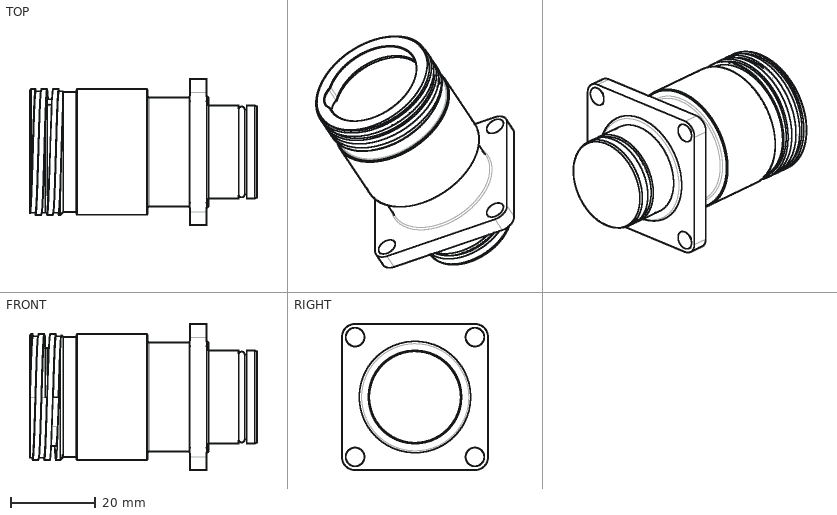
import cadquery as cq
import math


thread_end = 7.95
sleeve_start = 11.0
sleeve_end = 28.0
flange_front = 38.0
flange_rear = 42.0
boss_end = 42.5
seal_groove_start = 49.6
seal_groove_end = 51.5
total_length = 54.0

thread_crest_radius = 30.0 / 2
thread_root_radius = 29.0 / 2
relief_radius = 14.3
sleeve_radius = 30.0 / 2
neck_radius = 13.0
boss_radius = 13.25
tail_radius = 22.2 / 2
seal_floor_radius = 20.17 / 2
seal_bead_radius = 1.5 / 2

mouth_outer_chamfer = 0.3
mouth_bore_chamfer = 0.15
thread_end_chamfer = thread_crest_radius - relief_radius
sleeve_chamfer = 0.25
relief_fillet = 0.2
neck_fillet = 0.4
boss_fillet = 0.5
tail_chamfer_length = 0.6
tail_chamfer_height = 0.25

thread_pitch = 2.75
groove_position = 3.39
groove_floor_width = 1.2
groove_mouth_width = 1.5
groove_turns = range(-2, 2)
cutter_radius = thread_crest_radius + 0.1

slot_start = 3.6
slot_width = 1.4
slot_overlap = 0.1

flange_size = 34.8
flange_hole_spacing = 28.5
flange_hole_diameter = 4.4
flange_corner_radius = (flange_size - flange_hole_spacing) / 2

bore_radius = 11.6
slot_floor_radius = bore_radius + 0.1
key_tip_radius = 25.2 / 2
key_radius = 4.3
key_root_fillet = 2.0
insert_face = 4.1
insert_end = sleeve_end


def cylinder(start, end, radius):
    """Solid cylinder on the X axis."""
    return cq.Workplane("YZ", origin=(start, 0, 0)).circle(radius).extrude(end - start)


def turned_blank():
    """Everything on the housing that is round about X, before the thread is cut."""
    profile = (
        cq.Workplane("XY")
        .moveTo(0, 0)
        .lineTo(0, thread_crest_radius - mouth_outer_chamfer)
        .lineTo(mouth_outer_chamfer, thread_crest_radius)
        .lineTo(thread_end - thread_end_chamfer, thread_crest_radius)
        .lineTo(thread_end, relief_radius)
        .lineTo(sleeve_start - relief_fillet, relief_radius)
        .radiusArc((sleeve_start, relief_radius + relief_fillet), -relief_fillet)
        .lineTo(sleeve_start, sleeve_radius - sleeve_chamfer)
        .lineTo(sleeve_start + sleeve_chamfer, sleeve_radius)
        .lineTo(sleeve_end - sleeve_chamfer, sleeve_radius)
        .lineTo(sleeve_end, sleeve_radius - sleeve_chamfer)
        .lineTo(sleeve_end, neck_radius + neck_fillet)
        .radiusArc((sleeve_end + neck_fillet, neck_radius), -neck_fillet)
        .lineTo(flange_front - neck_fillet, neck_radius)
        .radiusArc((flange_front, neck_radius + neck_fillet), -neck_fillet)
        .lineTo(flange_rear, neck_radius + neck_fillet)
        .lineTo(flange_rear, boss_radius)
        .radiusArc((boss_end, boss_radius - boss_fillet), boss_fillet)
        .lineTo(boss_end, tail_radius)
        .lineTo(seal_groove_start, tail_radius)
        .lineTo(seal_groove_start, seal_floor_radius)
        .radiusArc((seal_groove_start + 2 * seal_bead_radius, seal_floor_radius), seal_bead_radius)
        .lineTo(seal_groove_end, seal_floor_radius)
        .lineTo(seal_groove_end, tail_radius)
        .lineTo(total_length - tail_chamfer_length, tail_radius)
        .lineTo(total_length, tail_radius - tail_chamfer_height)
        .lineTo(total_length, 0)
        .close()
    )
    return profile.revolve(360, (0, 0, 0), (1, 0, 0))


def helical_sweep(start_x, inner_radius, inner_width, outer_radius, outer_width):
    """Trapezoid swept along one turn of a left-handed helix about X that starts on the -Y side."""
    path = cq.Wire.makeHelix(thread_pitch, thread_pitch, inner_radius, lefthand=True)
    section = cq.Workplane("XZ").polyline([
        (inner_radius, -inner_width / 2),
        (outer_radius, -outer_width / 2),
        (outer_radius, outer_width / 2),
        (inner_radius, inner_width / 2),
    ]).close()
    swept = section.sweep(cq.Workplane(obj=path), isFrenet=True)
    along_x = swept.rotate((0, 0, 0), (0, 1, 0), 90)
    from_minus_y = along_x.rotate((0, 0, 0), (1, 0, 0), -90)
    return from_minus_y.translate((start_x, 0, 0))


def cut_thread(body):
    """Cut a shallow helical groove turn by turn; it runs out past both ends of the thread."""
    for turn in groove_turns:
        groove = helical_sweep(
            groove_position + turn * thread_pitch,
            thread_root_radius, groove_floor_width, cutter_radius, groove_mouth_width,
        )
        body = body.cut(groove)
    return body


def deep_slot():
    """One-turn slot with a flat front end wall; its flat run-outs meet on the -Y side."""
    groove = helical_sweep(
        groove_position, slot_floor_radius - slot_overlap, slot_width, cutter_radius, slot_width,
    )
    behind_start_plane = cylinder(slot_start, thread_end, cutter_radius + slot_overlap)
    tangent_y = -slot_floor_radius ** 2 / thread_root_radius
    tangent_z = math.sqrt(slot_floor_radius ** 2 - tangent_y ** 2)
    run_out = (
        cq.Workplane("YZ")
        .polyline([(-thread_root_radius, 0), (tangent_y, tangent_z), (tangent_y, -tangent_z)])
        .close().extrude(thread_end)
    )
    floor = cylinder(0, thread_end, slot_floor_radius)
    return groove.intersect(behind_start_plane).cut(run_out).cut(floor)


def flange():
    """Square plate with rounded corners and four mounting holes."""
    plate = (
        cq.Workplane("YZ", origin=(flange_front, 0, 0))
        .rect(flange_size, flange_size)
        .extrude(flange_rear - flange_front)
        .edges("|X").fillet(flange_corner_radius)
    )
    return (
        plate.faces("<X").workplane(origin=(flange_front, 0, 0))
        .rect(flange_hole_spacing, flange_hole_spacing, forConstruction=True)
        .vertices().hole(flange_hole_diameter)
    )


def keyed_plug(start, end):
    """Round plug with a rounded key on the +Y side, blended into the round by fillets."""
    key_center_y = key_tip_radius - key_radius
    key = cylinder(start, end, key_radius).translate((0, key_center_y, 0))
    plug = cylinder(start, end, bore_radius).union(key)
    key_roots = cq.selectors.BoxSelector(
        (start, key_center_y, -key_radius), (end, key_tip_radius, key_radius),
    )
    return plug.edges("|X").edges(key_roots).fillet(key_root_fillet)


def make_housing():
    """Turned blank, bored for the insert, threaded and slotted, then joined to the flange."""
    body = turned_blank().cut(keyed_plug(0, insert_end))
    inside_mouth_rim = cq.selectors.BoxSelector(
        (-1, -key_tip_radius - 1, -key_tip_radius - 1), (1, key_tip_radius + 1, key_tip_radius + 1),
    )
    body = body.faces("<X").edges(inside_mouth_rim).chamfer(mouth_bore_chamfer)
    return cut_thread(body).cut(deep_slot()).union(flange())


housing = make_housing()
insert = keyed_plug(insert_face, insert_end)

result = cq.Compound.makeCompound([housing.val(), insert.val()])